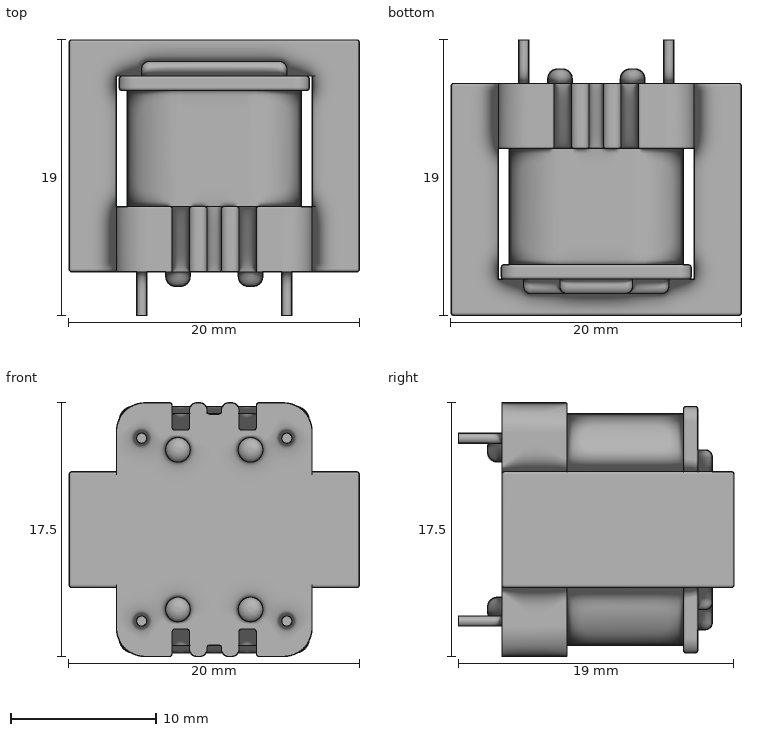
import cadquery as cq

CORE_WIDTH = 20
CORE_DEPTH = 16
CORE_HEIGHT = 8
EDGE_ROUND = 0.2

BASE_WIDTH = 13.5
BASE_HEIGHT = 17.5
BASE_DEPTH = 4.5
BASE_CORNER_RADIUS = 2
BASE_BACK_ROUND = 0.15

SLOT_INNER_X = 1.7
SLOT_OUTER_X = 2.9
SLOT_DEPTH = 1.9
SLOT_MOUTH_ROUND = 0.2
NOTCH_WIDTH = 1
NOTCH_DEPTH = 0.8
RIB_ROUND = 0.5

WINDING_WIDTH = 12
WINDING_HEIGHT = 16
WINDING_CORNER_RADIUS = 3.5

FLANGE_WIDTH = 13.1
FLANGE_HEIGHT = 17
FLANGE_DEPTH = 1
FLANGE_CORNER_RADIUS = 1
FLANGE_BACK_Y = 13.5

LUG_WIDTH = 10
LUG_HEIGHT = 11
LUG_DEPTH = 1
LUG_ROUND = 0.5
TAB_WIDTH = LUG_WIDTH / 2
TAB_REACH = 6.9

PIN_DIAMETER = 0.7
PIN_LENGTH = 3
PIN_X = 5
PIN_Z = 6.3
FOOT_DIAMETER = 1.7
FOOT_HEIGHT = 1
FOOT_ROUND = 0.7
FOOT_X = 2.5
FOOT_Z = 5.5


def block(width, height, start_y, end_y, center_x=0, center_z=0):
    """Box given by its X width, Z height and Y range."""
    box = cq.Workplane("XY").box(width, end_y - start_y, height)
    return box.translate((center_x, (start_y + end_y) / 2, center_z))


def make_core():
    core = block(CORE_WIDTH, CORE_HEIGHT, 0, CORE_DEPTH).edges().fillet(EDGE_ROUND)
    window = block(BASE_WIDTH, CORE_HEIGHT, BASE_DEPTH, FLANGE_BACK_Y)
    core = core.cut(window)
    window_edge = cq.selectors.NearestToPointSelector(
        (BASE_WIDTH / 2, (BASE_DEPTH + FLANGE_BACK_Y) / 2, CORE_HEIGHT / 2)
    )
    return core.edges(window_edge).fillet(EDGE_ROUND)


def cut_wire_slots(base, side):
    """Cut two slots and the rib notch in the top (side = 1) or bottom (side = -1)."""
    edge_z = BASE_HEIGHT / 2
    slot_width = SLOT_OUTER_X - SLOT_INNER_X
    slot_x = (SLOT_INNER_X + SLOT_OUTER_X) / 2
    openings = [
        (-slot_x, slot_width, SLOT_DEPTH),
        (0, NOTCH_WIDTH, NOTCH_DEPTH),
        (slot_x, slot_width, SLOT_DEPTH),
    ]
    for center_x, width, depth in openings:
        cutter = block(width, 2 * depth, 0, BASE_DEPTH, center_x, side * edge_z)
        base = base.cut(cutter.edges("|Y").fillet(EDGE_ROUND))
    return base


def round_mouth_edges(base, side, edge_x, radius):
    """Round the pair of Y edges at X = -edge_x and X = edge_x on the top or bottom of the base."""
    for x_sign in (-1, 1):
        mouth_edge = cq.selectors.NearestToPointSelector(
            (x_sign * edge_x, BASE_DEPTH / 2, side * BASE_HEIGHT / 2)
        )
        base = base.edges("|Y").edges(mouth_edge).fillet(radius)
    return base


def make_base():
    base = block(BASE_WIDTH, BASE_HEIGHT, 0, BASE_DEPTH)
    base = base.edges("|Y").fillet(BASE_CORNER_RADIUS)
    for side in (-1, 1):
        base = cut_wire_slots(base, side)
        base = round_mouth_edges(base, side, NOTCH_WIDTH / 2, RIB_ROUND)
        base = round_mouth_edges(base, side, SLOT_INNER_X, RIB_ROUND)
        base = round_mouth_edges(base, side, SLOT_OUTER_X, SLOT_MOUTH_ROUND)
    return base.faces(">Y").edges().fillet(BASE_BACK_ROUND)


def make_winding():
    winding = block(WINDING_WIDTH, WINDING_HEIGHT, BASE_DEPTH, FLANGE_BACK_Y)
    return winding.edges("|Y").fillet(WINDING_CORNER_RADIUS)


def make_flange():
    flange = block(FLANGE_WIDTH, FLANGE_HEIGHT, FLANGE_BACK_Y - FLANGE_DEPTH, FLANGE_BACK_Y)
    flange = flange.edges("|Y").fillet(FLANGE_CORNER_RADIUS)
    return flange.faces("<Y or >Y").edges().fillet(EDGE_ROUND)


def lug(width, height, center_z=0):
    """Plate on the back of the flange with its corners and back edges rounded."""
    plate = block(width, height, FLANGE_BACK_Y, FLANGE_BACK_Y + LUG_DEPTH, center_z=center_z)
    return plate.edges("|Y or >Y").fillet(LUG_ROUND)


def make_lugs():
    lugs = lug(LUG_WIDTH, LUG_HEIGHT)
    tab = lug(TAB_WIDTH, TAB_REACH, center_z=-TAB_REACH / 2)
    return lugs.union(tab)


def stand_on_base(diameter, height, x, z):
    """Cylinder standing out of the base face toward -Y."""
    return cq.Workplane("XZ").center(x, z).circle(diameter / 2).extrude(height)


result = make_core()
for bobbin_piece in (make_base(), make_winding(), make_flange(), make_lugs()):
    result = result.union(bobbin_piece)

for x_sign in (-1, 1):
    for z_sign in (-1, 1):
        pin = stand_on_base(PIN_DIAMETER, PIN_LENGTH, x_sign * PIN_X, z_sign * PIN_Z)
        foot = stand_on_base(FOOT_DIAMETER, FOOT_HEIGHT, x_sign * FOOT_X, z_sign * FOOT_Z)
        rounded_foot = foot.faces("<Y").edges().fillet(FOOT_ROUND)
        result = result.union(pin).union(rounded_foot)